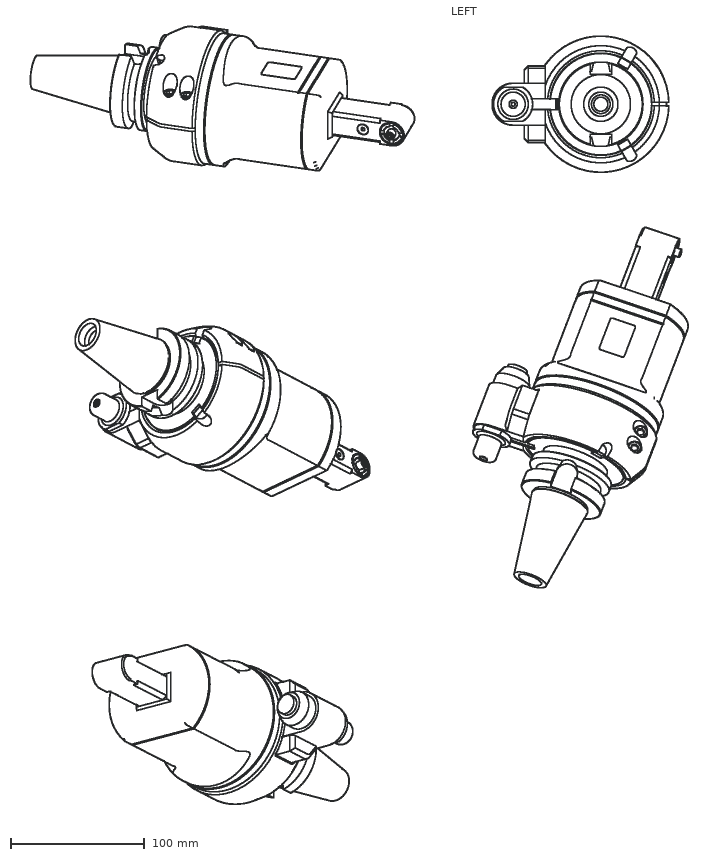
import cadquery as cq
import math


taper_length = 65.5
flange_start = 67.5
flange_end = 92.2
ring_start = 99.8
ring_end = 139.5
housing_end = 232.5
nose_x = 281.7

taper_small_radius = 12.8
taper_large_radius = 22.2
relief_radius = 21.3
flange_radius = 31.5
flange_chamfer = 0.5
groove_radius = 25.7
groove_rim_start = 77.4
groove_floor_start = 79.7
groove_floor_end = 85.0
groove_rim_end = 86.7
neck_radius = 25.5
collar_radius = 38.0
collar_end = 109.5
journal_radius = 19.0
journal_end = 128.5
key_slot_width = 16.0
key_slot_floor = 22.5
key_slot_end = 88.7
pilot_bore_diameter = 18.0
pilot_bore_depth = 6.5
pilot_cone_end = 8.8
thread_bore_diameter = 14.0
thread_bore_depth = 26.3
drill_diameter = 10.5
drill_depth = 35.0
drill_tip_angle = 118
cut_clearance = 3.0

ring_diameter = 102.0
ring_radius = ring_diameter / 2
ring_face_radius = 43.8
ring_cone_end = 110.0
ring_cone_radius = 49.5
ring_rim_start = 113.8
ring_back_chamfer = 2.0
ring_back_radius = 49.3
ring_counterbore_radius = 38.2
ring_mouth_chamfer = 1.8
ring_bore_radius = 37.0
slit_width = 2.5
notch_width = 8.5
notch_center_x = 103.5
notch_inner_radius = 32.7
pin_notch_angle = 0
spare_notch_angles = (120, 240)
spare_collar_notch_depth = 2.0

lug_flat_y = 41.5
lug_end_y = 57.2
lug_half_height = 28.5
lug_back_x = 133.7
lug_front_half_height = 15.8
lug_rim_half_height = 26.9
lug_end_chamfer = 3.0
block_radius = 15.8
block_end_x = 134.5
overall_width = 132.2
block_axis_y = overall_width - ring_radius - block_radius

plunger_radius = 9.0
plunger_start = 78.8
plunger_rounding = 3.2
flare_start = 94.0
flare_radius = 11.5
plunger_collar_start = 95.7
plunger_collar_radius = 14.5
plunger_collar_flat = 12.8
head_radius = 13.5
head_shoulder_x = 143.5
head_cone_end = 151.0
head_cone_radius = 10.2
tip_radius = 7.5
plunger_end = 154.5
plunger_socket_diameter = 6.0
plunger_socket_depth = 1.8
plunger_hole_diameter = 3.0
plunger_hole_depth = 8.8
pin_diameter = 8.0
pin_inner_radius = 33.5

screw_positions_x = (117.3, 130.5)
screw_y = -40.5
screw_head_diameter = 10.0
screw_recess_diameter = 10.5
screw_head_top = 23.5
screw_head_height = 6.0
screw_shank_diameter = 6.0
screw_bottom = -17.5
screw_socket_flats = 5.0
screw_socket_depth = 3.0
screw_head_chamfer = 0.5

housing_flange_radius = 49.3
housing_flange_end = 156.0
shoulder_cone_start = 159.7
shoulder_cone_start_radius = 47.3
shoulder_cone_end = 162.3
shoulder_cone_end_radius = 44.7
barrel_start = 168.0
barrel_diameter = 86.0
barrel_radius = barrel_diameter / 2
flat_height = 32.5
flat_ramp_top_x = 152.7
flat_ramp_bottom_x = 158.0
flat_ramp_fillet = 4.7
end_rounding = 2.5
end_bevel_length = 1.5
end_bevel_depth = 9.5
seam_width = 1.0
seam_depth = 0.45
flange_seam_x = 146.5
cap_seam_x = 220.5
flat_seam_x = 213.7
plate_center_x = 192.0
plate_length = 26.5
plate_width = 19.8
plate_depth = 0.3
plate_corner = 1.5

finger_radius = 10.2
finger_front_y = -13.7
finger_back_y = 14.5
finger_front_chamfer = 2.5
finger_back_chamfer = 3.8
finger_chamfer_height = 2.5
finger_tip_chamfer = 1.2
finger_chamfer_end = 273.0
finger_root = 3.0
nut_diameter = 18.0
nut_recess_diameter = 12.0
nut_recess_depth = 1.8
nut_slot_width = 3.2
nut_slot_depth = 1.5
nut_gap = 0.5
nose_diameter = 6.5
nose_end_y = -18.0
nose_chamfer = 0.5
nose_hole_diameter = 2.5
nose_hole_depth = 3.0
plug_x = 259.5
plug_diameter = 8.5
plug_recess = 0.5
plug_hole_diameter = 2.6
plug_hole_depth = 3.0


def box(x_range, y_range, z_range):
    """Axis-aligned block between the given limits."""
    sizes = [high - low for low, high in (x_range, y_range, z_range)]
    return cq.Workplane("XY").box(*sizes, centered=False).translate((x_range[0], y_range[0], z_range[0]))


def revolved(profile):
    """Turn a closed (x, radius) outline about the X axis."""
    return profile.close().revolve(360, (0, 0, 0), (1, 0, 0))


def rod_x(radius, start, end, y=0):
    return cq.Workplane("YZ", origin=(start, y, 0)).circle(radius).extrude(end - start)


def rod_y(diameter, x, start, end):
    """Cylinder along +Y from start to end, crossing the plane Z = 0 at x."""
    return cq.Workplane("XZ", origin=(x, start, 0)).circle(diameter / 2).extrude(start - end)


def rod_z(diameter, x, y, bottom, top):
    return cq.Workplane("XY", origin=(x, y, bottom)).circle(diameter / 2).extrude(top - bottom)


def about_x(shape, angle):
    return shape.rotate((0, 0, 0), (1, 0, 0), angle)


def flat_notch(inner_radius, outer_radius, floor_x, angle):
    """Square notch open towards -X, running outwards at an angle about X from +Y."""
    half = notch_width / 2
    return about_x(box((flange_end, floor_x), (inner_radius, outer_radius), (-half, half)), angle)


def radial_notch(inner_radius, outer_radius, angle):
    """Round-ended notch open towards -X, running outwards at an angle about X from +Y."""
    mouth = flat_notch(inner_radius, outer_radius, notch_center_x, angle)
    round_end = rod_y(notch_width, notch_center_x, inner_radius, outer_radius)
    return mouth.union(about_x(round_end, angle))


def mirrored_in_z(shape):
    return shape.union(shape.mirror("XY"))


def key_slot():
    """Driving slot in the flange, with a half-round end."""
    half = key_slot_width / 2
    top = flange_radius + cut_clearance
    center_x = key_slot_end - half
    straight = box((relief_start(), center_x), (-half, half), (key_slot_floor, top))
    return straight.union(rod_z(key_slot_width, center_x, 0, key_slot_floor, top))


def relief_start():
    """The narrow relief begins where the taper ends."""
    return taper_length


def shank_bore():
    """Stepped drawbar bore ending in a drill point."""
    drill_radius = drill_diameter / 2
    tip = drill_radius / math.tan(math.radians(drill_tip_angle / 2))
    profile = (
        cq.Workplane("XY")
        .polyline([
            (0, 0),
            (0, pilot_bore_diameter / 2),
            (pilot_bore_depth, pilot_bore_diameter / 2),
            (pilot_cone_end, thread_bore_diameter / 2),
            (thread_bore_depth, thread_bore_diameter / 2),
            (thread_bore_depth, drill_radius),
            (drill_depth, drill_radius),
            (drill_depth + tip, 0),
        ])
    )
    return revolved(profile)


def make_shank():
    profile = (
        cq.Workplane("XY")
        .polyline([
            (0, 0),
            (0, taper_small_radius),
            (taper_length, taper_large_radius),
            (taper_length, relief_radius),
            (flange_start, relief_radius),
            (flange_start, flange_radius - flange_chamfer),
            (flange_start + flange_chamfer, flange_radius),
            (groove_rim_start, flange_radius),
            (groove_floor_start, groove_radius),
            (groove_floor_end, groove_radius),
            (groove_rim_end, flange_radius),
            (flange_end - flange_chamfer, flange_radius),
            (flange_end, flange_radius - flange_chamfer),
            (flange_end, neck_radius),
            (ring_start, neck_radius),
            (ring_start, collar_radius),
            (collar_end, collar_radius),
            (collar_end, journal_radius),
            (journal_end, journal_radius),
            (journal_end, 0),
        ])
    )
    shank = revolved(profile).cut(shank_bore()).cut(mirrored_in_z(key_slot()))
    notch_outer_radius = collar_radius + cut_clearance
    shank = shank.cut(radial_notch(notch_inner_radius, notch_outer_radius, pin_notch_angle))
    spare_floor_x = ring_start + spare_collar_notch_depth
    for angle in spare_notch_angles:
        shank = shank.cut(flat_notch(notch_inner_radius, notch_outer_radius, spare_floor_x, angle))
    return shank


def ring_outside():
    """Coned ring, cut flat on the side that carries the stop block."""
    profile = (
        cq.Workplane("XY")
        .moveTo(ring_start, 0)
        .lineTo(ring_start, ring_face_radius)
        .lineTo(ring_cone_end, ring_cone_radius)
        .tangentArcPoint((ring_rim_start, ring_radius), relative=False)
        .lineTo(ring_end - ring_back_chamfer, ring_radius)
        .lineTo(ring_end, ring_back_radius)
        .lineTo(ring_end, 0)
    )
    flat_side = box((ring_start, block_end_x), (lug_flat_y, ring_radius), (-ring_radius, ring_radius))
    return revolved(profile).cut(flat_side)


def ring_bore():
    """Counterbore for the shank collar, then the bore for the housing spigot."""
    mouth_radius = ring_counterbore_radius + ring_mouth_chamfer
    profile = (
        cq.Workplane("XY")
        .polyline([
            (ring_start, 0),
            (ring_start, mouth_radius),
            (ring_start + ring_mouth_chamfer, ring_counterbore_radius),
            (collar_end, ring_counterbore_radius),
            (collar_end, ring_bore_radius),
            (ring_end, ring_bore_radius),
            (ring_end, 0),
        ])
    )
    return revolved(profile)


def screw_hole(x):
    """Recess for the screw head with the shank hole below it."""
    seat = screw_head_top - screw_head_height
    recess = rod_z(screw_recess_diameter, x, screw_y, seat, ring_radius)
    return recess.union(rod_z(screw_shank_diameter, x, screw_y, screw_bottom, seat))


def make_ring():
    ring = ring_outside().cut(ring_bore())
    half_slit = slit_width / 2
    outer_radius = ring_radius + cut_clearance
    ring = ring.cut(box((ring_start, ring_end), (-outer_radius, 0), (-half_slit, half_slit)))
    ring = ring.cut(radial_notch(notch_inner_radius, lug_flat_y, pin_notch_angle))
    for angle in spare_notch_angles:
        ring = ring.cut(radial_notch(notch_inner_radius, outer_radius, angle))
    for x in screw_positions_x:
        ring = ring.cut(screw_hole(x))
    return ring


def make_screw(x):
    """Socket-head screw that crosses the slit of the ring."""
    seat = screw_head_top - screw_head_height
    head = rod_z(screw_head_diameter, x, screw_y, seat, screw_head_top).faces(">Z").chamfer(screw_head_chamfer)
    screw = head.union(rod_z(screw_shank_diameter, x, screw_y, screw_bottom, seat))
    corner_diameter = screw_socket_flats / math.cos(math.radians(30))
    socket = (
        cq.Workplane("XY", origin=(x, screw_y, screw_head_top))
        .polygon(6, corner_diameter)
        .extrude(-screw_socket_depth)
    )
    return screw.cut(socket)


def lug():
    """Wide lug whose front faces slope along with the cone of the ring."""
    upper = [
        (ring_start, lug_front_half_height),
        (ring_cone_end, lug_rim_half_height),
        (ring_rim_start, lug_half_height),
        (lug_back_x, lug_half_height),
    ]
    lower = [(x, -z) for x, z in reversed(upper)]
    pad = (
        cq.Workplane("XZ", origin=(0, lug_flat_y, 0))
        .polyline(upper + lower)
        .close()
        .extrude(lug_flat_y - lug_end_y)
    )
    return pad.faces(">Y").chamfer(lug_end_chamfer)


def rounded_block():
    """Narrow block with a rounded end around the plunger axis."""
    straight = box((ring_start, block_end_x), (lug_flat_y, block_axis_y), (-block_radius, block_radius))
    return straight.union(rod_x(block_radius, ring_start, block_end_x, block_axis_y))


def plunger():
    """Turned plunger with a flatted collar in front of the block and a tapered head behind it."""
    profile = (
        cq.Workplane("XY")
        .moveTo(plunger_start, 0)
        .lineTo(plunger_start, plunger_radius - plunger_rounding)
        .tangentArcPoint((plunger_start + plunger_rounding, plunger_radius), relative=False)
        .lineTo(flare_start, plunger_radius)
        .lineTo(plunger_collar_start, flare_radius)
        .lineTo(plunger_collar_start, plunger_collar_radius)
        .lineTo(ring_start, plunger_collar_radius)
        .lineTo(ring_start, plunger_radius)
        .lineTo(block_end_x, plunger_radius)
        .lineTo(block_end_x, head_radius)
        .lineTo(head_shoulder_x, head_radius)
        .lineTo(head_cone_end, head_cone_radius)
        .lineTo(head_cone_end, tip_radius)
        .lineTo(plunger_end, tip_radius)
        .lineTo(plunger_end, 0)
    )
    body = revolved(profile)
    flat_cut = box(
        (plunger_collar_start, ring_start),
        (-plunger_collar_radius, plunger_collar_radius),
        (plunger_collar_flat, plunger_collar_radius),
    )
    body = body.cut(mirrored_in_z(flat_cut))
    socket_end = plunger_start + plunger_socket_depth
    body = body.cut(rod_x(plunger_socket_diameter / 2, plunger_start, socket_end))
    body = body.cut(rod_x(plunger_hole_diameter / 2, socket_end, socket_end + plunger_hole_depth))
    return body.translate((0, block_axis_y, 0))


def make_stop_block():
    """Block with its plunger; the cross pin reaches through the ring into the shank collar."""
    pin_slot = radial_notch(lug_flat_y, block_axis_y - plunger_radius, pin_notch_angle)
    block = lug().union(rounded_block()).cut(pin_slot)
    return block.union(plunger()).union(rod_y(pin_diameter, notch_center_x, pin_inner_radius, block_axis_y))


def housing_turned():
    """Spigot, flange, shoulder and barrel with a bevelled end, all round."""
    bevel_start = housing_end - end_bevel_length
    profile = (
        cq.Workplane("XY")
        .moveTo(collar_end, 0)
        .lineTo(collar_end, ring_bore_radius)
        .lineTo(ring_end, ring_bore_radius)
        .lineTo(ring_end, housing_flange_radius)
        .lineTo(housing_flange_end, housing_flange_radius)
        .tangentArcPoint((shoulder_cone_start, shoulder_cone_start_radius), relative=False)
        .lineTo(shoulder_cone_end, shoulder_cone_end_radius)
        .tangentArcPoint((barrel_start, barrel_radius), relative=False)
        .lineTo(bevel_start - end_rounding, barrel_radius)
        .tangentArcPoint((bevel_start, barrel_radius - end_rounding), relative=False)
        .lineTo(housing_end, barrel_radius - end_bevel_depth)
        .lineTo(housing_end, 0)
    )
    return revolved(profile)


def housing_flat():
    """Material above the flat: a ramp through the shoulder, then a plane to the end bevel."""
    width = 2 * ring_radius
    bevel_start = housing_end - end_bevel_length
    cutter = (
        cq.Workplane("XZ", origin=(0, width / 2, 0))
        .moveTo(flat_ramp_top_x, housing_flange_radius)
        .lineTo(flat_ramp_bottom_x, flat_height)
        .lineTo(bevel_start - end_rounding, flat_height)
        .tangentArcPoint((bevel_start, flat_height - end_rounding), relative=False)
        .lineTo(housing_end, flat_height - end_bevel_depth)
        .lineTo(housing_end, housing_flange_radius)
        .close()
        .extrude(width)
    )
    ramp_foot = cq.selectors.NearestToPointSelector((flat_ramp_bottom_x, 0, flat_height))
    return cutter.edges(ramp_foot).fillet(flat_ramp_fillet)


def barrel_section(x, length, inset):
    """Slice of the barrel, with both flats, reduced by the inset all round."""
    height = flat_height - inset
    slab = box((x, x + length), (-barrel_radius, barrel_radius), (-height, height))
    return rod_x(barrel_radius - inset, x, x + length).intersect(slab)


def cap_seam():
    start = cap_seam_x - seam_width / 2
    slab = rod_x(ring_radius, start, start + seam_width)
    return slab.cut(barrel_section(start, seam_width, seam_depth))


def flange_seam():
    start = flange_seam_x - seam_width / 2
    slab = rod_x(ring_radius, start, start + seam_width)
    return slab.cut(rod_x(housing_flange_radius - seam_depth, start, start + seam_width))


def flat_seam():
    """Shallow groove across the upper flat."""
    start = flat_seam_x - seam_width / 2
    return box(
        (start, start + seam_width),
        (-barrel_radius, barrel_radius),
        (flat_height - seam_depth, flat_height),
    )


def plate_recess():
    """Shallow recess for the nameplate on the upper flat."""
    plate = cq.Workplane("XY", origin=(plate_center_x, 0, flat_height)).rect(plate_length, plate_width)
    return plate.extrude(-plate_depth).edges("|Z").fillet(plate_corner)


def finger_edge_cut(face_y, inward, depth):
    """Wedge that bevels the upper long edge at one side of the finger."""
    return (
        cq.Workplane("YZ", origin=(housing_end, 0, 0))
        .polyline([
            (face_y, finger_radius),
            (face_y + inward * depth, finger_radius),
            (face_y, finger_radius - finger_chamfer_height),
        ])
        .close()
        .extrude(finger_chamfer_end - housing_end)
    )


def finger_root_flare():
    """Tapered foot that widens the finger where it leaves the housing."""
    foot = cq.Workplane("YZ", origin=(housing_end, (finger_front_y + finger_back_y) / 2, 0))
    width = finger_back_y - finger_front_y
    height = 2 * finger_radius
    spread = finger_root
    return foot.rect(width + spread, height + spread).workplane(offset=finger_root).rect(width, height).loft()


def finger():
    """Flat blade with a round tip and bevelled long edges."""
    limits_y = (finger_front_y, finger_back_y)
    blade = box((housing_end, nose_x), limits_y, (-finger_radius, finger_radius))
    tip = rod_y(2 * finger_radius, nose_x, *limits_y).faces(">Y").chamfer(finger_tip_chamfer)
    blade = blade.union(tip)
    blade = blade.cut(mirrored_in_z(finger_edge_cut(finger_front_y, 1, finger_front_chamfer)))
    blade = blade.cut(mirrored_in_z(finger_edge_cut(finger_back_y, -1, finger_back_chamfer)))
    return blade.union(finger_root_flare())


def nut_slots():
    """Crossed wrench slots in the face of the bearing nut."""
    half_width = nut_slot_width / 2
    half_length = nut_diameter / 2
    depth = (finger_front_y, finger_front_y + nut_slot_depth)
    slot = box((-half_length, half_length), depth, (-half_width, half_width))
    crossed = slot.union(slot.rotate((0, 0, 0), (0, 1, 0), 90))
    return crossed.translate((nose_x, 0, 0))


def nut_gap_ring():
    """Narrow groove around the nut."""
    floor_y = finger_front_y + nut_slot_depth
    outer = rod_y(nut_diameter, nose_x, finger_front_y, floor_y)
    return outer.cut(rod_y(nut_diameter - 2 * nut_gap, nose_x, finger_front_y, floor_y))


def output_nose():
    """Pilot nose standing in the recess of the nut."""
    nose = rod_y(nose_diameter, nose_x, nose_end_y, finger_front_y + nut_recess_depth)
    nose = nose.faces("<Y").chamfer(nose_chamfer)
    return nose.cut(rod_y(nose_hole_diameter, nose_x, nose_end_y, nose_end_y + nose_hole_depth))


def finger_plug_recess():
    """Shallow round recess with a central hole."""
    floor_y = finger_front_y + plug_recess
    recess = rod_y(plug_diameter, plug_x, finger_front_y, floor_y)
    return recess.union(rod_y(plug_hole_diameter, plug_x, floor_y, floor_y + plug_hole_depth))


def make_housing():
    housing = housing_turned().cut(mirrored_in_z(housing_flat()))
    housing = housing.cut(rod_x(journal_radius, collar_end, journal_end))
    housing = housing.cut(flange_seam()).cut(cap_seam())
    housing = housing.cut(flat_seam()).cut(plate_recess())
    nut_recess = rod_y(nut_recess_diameter, nose_x, finger_front_y, finger_front_y + nut_recess_depth)
    blade = finger().cut(nut_slots()).cut(nut_gap_ring()).cut(nut_recess).cut(finger_plug_recess())
    return housing.union(blade).union(output_nose())


shank = make_shank()
ring = make_ring()
stop_block = make_stop_block()
housing = make_housing()
screws = [make_screw(x) for x in screw_positions_x]

result = cq.Compound.makeCompound([
    shank.val(),
    ring.val(),
    stop_block.val(),
    housing.val(),
    *[screw.val() for screw in screws],
])